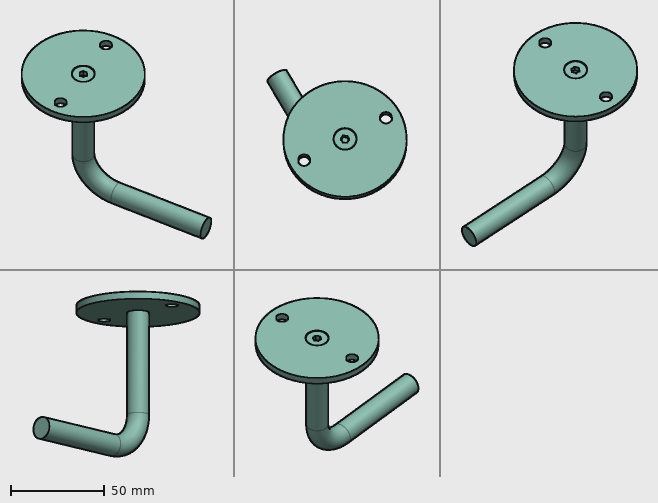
import cadquery as cq
import math


total_length = 108.0
total_height = 86.0

plate_diameter = 66.0
plate_thickness = 4.0
mount_hole_diameter = 6.5
mount_hole_spacing = 50.0

rod_diameter = 12.0
bend_radius = 20.0
rod_end_x = total_length - plate_diameter / 2
arm_z = rod_diameter / 2 - total_height

screw_head_diameter = 12.0
countersink_diameter = 12.4
shank_diameter = 6.0
screw_length = 16.0
hex_across_flats = 4.0
hex_depth = 3.0
head_top_z = (screw_head_diameter - countersink_diameter) / 2
cone_bottom_z = (shank_diameter - countersink_diameter) / 2


def make_screw_space(top_diameter, top_z):
    """Cone and shank, turned about the Z axis."""
    shank_radius = shank_diameter / 2
    return (
        cq.Workplane("XZ")
        .moveTo(0, top_z)
        .lineTo(top_diameter / 2, top_z)
        .lineTo(shank_radius, cone_bottom_z)
        .lineTo(shank_radius, -screw_length)
        .lineTo(0, -screw_length)
        .close()
        .revolve(360, (0, 0, 0), (0, 1, 0))
    )


def make_plate(screw_space):
    """Round plate with two mounting holes and a central countersunk hole."""
    mount_y = mount_hole_spacing / 2
    return (
        cq.Workplane("XY")
        .circle(plate_diameter / 2)
        .extrude(-plate_thickness)
        .pushPoints([(0, -mount_y), (0, mount_y)])
        .circle(mount_hole_diameter / 2)
        .cutThruAll()
        .cut(screw_space)
    )


def make_rod(screw_space):
    """Round rod hanging from the plate, bent toward +X, with a hole for the screw."""
    bend_offset = bend_radius * (1 - math.sqrt(0.5))
    path = (
        cq.Workplane("XZ")
        .moveTo(0, -plate_thickness)
        .lineTo(0, arm_z + bend_radius)
        .threePointArc((bend_offset, arm_z + bend_offset), (bend_radius, arm_z))
        .lineTo(rod_end_x, arm_z)
    )
    return (
        cq.Workplane("XY", origin=(0, 0, -plate_thickness))
        .circle(rod_diameter / 2)
        .sweep(path)
        .cut(screw_space)
    )


def make_screw():
    """Countersunk screw with a hexagon socket."""
    hex_across_corners = hex_across_flats / math.cos(math.radians(30))
    socket = (
        cq.Workplane("XY", origin=(0, 0, head_top_z))
        .polygon(6, hex_across_corners)
        .extrude(-hex_depth)
    )
    return make_screw_space(screw_head_diameter, head_top_z).cut(socket)


screw_hole = make_screw_space(countersink_diameter, 0)
plate = make_plate(screw_hole)
rod = make_rod(screw_hole)
screw = make_screw()

result = cq.Compound.makeCompound([plate.val(), rod.val(), screw.val()])